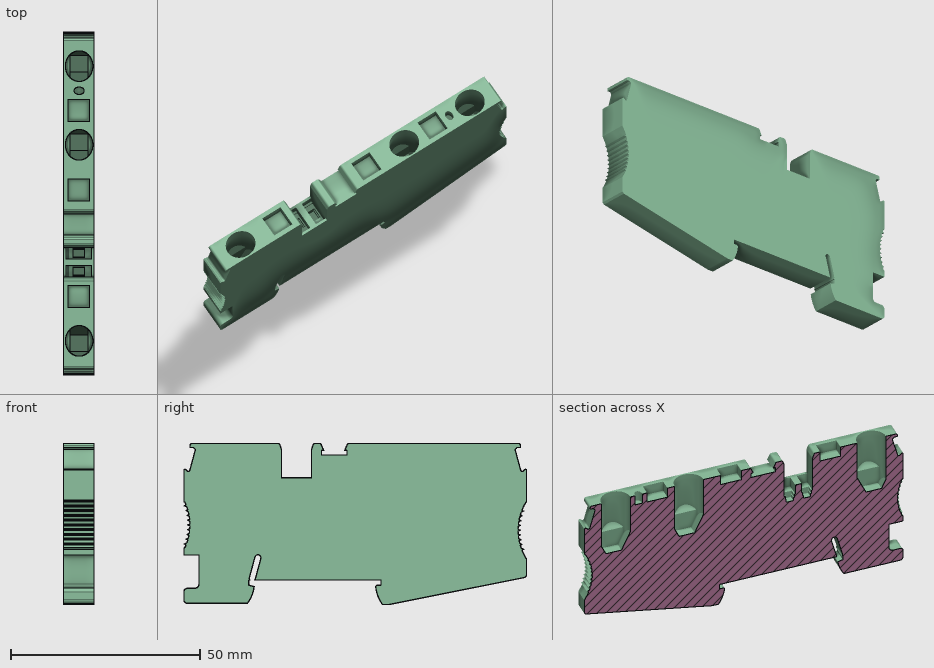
import cadquery as cq
import math


WIDTH = 8.15
LENGTH = 90.5
HEIGHT = 42.54
HALF_LENGTH = LENGTH / 2
MARGIN = 1.0

RAIL_FACE_Z = HEIGHT - 36.1
HOOK_TOP_Z = HEIGHT - 37.4
SLIDING_FOOT_Z = 0.3
BACK_CORNER_Z = HEIGHT - 35.4
BACK_CORNER_RADIUS = 0.5
FIXED_FOOT_START_Y = HALF_LENGTH - 36.3
FIXED_FOOT_END_Y = HALF_LENGTH - 38.1
FIXED_HOOK_TIP_Y = HALF_LENGTH - 39.9
FIXED_HOOK_ROOT_Y = HALF_LENGTH - 38.5
SLIDING_FOOT_START_Y = HALF_LENGTH - 73.7
SLIDING_HOOK_TIP_Y = HALF_LENGTH - 71.9
SLIDING_HOOK_ROOT_Y = HALF_LENGTH - 73.3
HOOK_BULGE = 0.35
HOOK_TIP_DROP = 0.35
TOE_RADIUS = 1.0

SLOT_WIDTH = 1.55
SLOT_TOP_CENTRE_Y = HALF_LENGTH - 70.95
SLOT_TOP_CENTRE_Z = HEIGHT - 30.2
SLOT_BOTTOM_CENTRE_Y = HALF_LENGTH - 72.4
SLOT_BOTTOM_CENTRE_Z = HEIGHT - 35.6

FOOT_RECESS_DEPTH = 4.0
FOOT_RECESS_TOP_Z = HEIGHT - 29.5
FOOT_RECESS_BOTTOM_Z = HEIGHT - 38.2
FOOT_RECESS_RADIUS = 1.1

LIP_INSET = 1.64
LIP_THICKNESS = 1.1
NECK_INSET = 3.05
NECK_ROUND = 0.5
LABEL_SEAT_INSET = 1.2
LABEL_SEAT_DROP = 7.4
LABEL_SEAT_HALF = 0.35
LABEL_SEAT_RISE = 0.25
LABEL_LIP_INSET = 0.35
LABEL_LIP_DROP = 6.75
SHOULDER_DROP = 7.0

GRIP_RADIUS = 14.2
RIDGE_PITCH = 1.26
RIDGE_HEIGHT = 0.55
RIDGE_BASE = 0.5
BACK_GRIP_Z = HEIGHT - 22.9
BACK_GRIP_DEPTH = 2.25
BACK_RIDGES = 9
FRONT_GRIP_Z = HEIGHT - 21.5
FRONT_GRIP_DEPTH = 1.6
FRONT_RIDGES = 11

TOP_EDGE_RADIUS = 0.55

GROOVE_CENTRE_Y = HALF_LENGTH - 50.8
GROOVE_MOUTH = 7.1
GROOVE_THROAT = 5.5
GROOVE_FLOOR = 6.7
GROOVE_THROAT_DROP = 1.85
GROOVE_DEPTH = 3.05

NOTCH_CENTRE_Y = HALF_LENGTH - 60.75
NOTCH_WIDTH = 7.9
NOTCH_DEPTH = 9.0
NOTCH_CHAMFER_RUN = 0.55
NOTCH_CHAMFER_DROP = 1.55

POCKET_LENGTH = 6.85
POCKET_WIDTH = 3.05
POCKET_SPACING = NOTCH_WIDTH - POCKET_WIDTH
POCKET_DEPTH = 3.0
POCKET_STEP_LENGTH = 0.55
POCKET_STEP_DEPTH = 2.5
CONTACT_LENGTH = 3.05
CONTACT_OUTER_WIDTH = 2.4
CONTACT_INNER_WIDTH = 1.95
CONTACT_STEP_DEPTH = 1.0
CONTACT_DEPTH = 2.0

OPENING_X = 0.1
ENTRY_LENGTH = 8.1
ENTRY_WIDTH = 7.25
END_ENTRY_Y = 36.25
MIDDLE_ENTRY_Y = END_ENTRY_Y - 20.75
ENTRY_STRAIGHT_DEPTH = 10.0
FUNNEL_SIDE_LEAN = 40.0
DUCT_END_LEAN = 25.0
DUCT_WIDTH = 4.7
FUNNEL_DEPTH = (ENTRY_WIDTH - DUCT_WIDTH) / 2 / math.tan(math.radians(FUNNEL_SIDE_LEAN))
DUCT_OUTER_INSET = 1.25
DUCT_INNER_INSET = 2.5
DUCT_DEPTH = DUCT_INNER_INSET / math.tan(math.radians(DUCT_END_LEAN))

RELEASE_SIDE = 5.75
RELEASE_DEPTH = 3.0
END_RELEASE_Y = 24.55
MIDDLE_RELEASE_Y = 3.6
TEST_HOLE_Y = 29.75
TEST_HOLE_WIDTH = 2.7
TEST_HOLE_LENGTH = 1.95
TEST_HOLE_DEPTH = 3.0


def profile_plane():
    """YZ sketch plane on the -X face, so that extrusion runs along +X."""
    return cq.Workplane("YZ", origin=(-WIDTH / 2, 0, 0))


def box_from(top_z, depth, length_x, length_y, centre_x, centre_y):
    """Box hanging down from top_z."""
    centre = (centre_x, centre_y, top_z - depth / 2)
    return cq.Workplane("XY").box(length_x, length_y, depth).translate(centre)


def body():
    """Full-length block with the fixed rail hook and the sliding foot."""
    hook_tip_z = HOOK_TOP_Z - HOOK_TIP_DROP
    fixed_mid_y = (FIXED_FOOT_END_Y + FIXED_HOOK_TIP_Y) / 2 - HOOK_BULGE
    sliding_mid_y = (SLIDING_FOOT_START_Y + SLIDING_HOOK_TIP_Y) / 2 + HOOK_BULGE
    return (
        profile_plane()
        .moveTo(HALF_LENGTH, HEIGHT)
        .lineTo(HALF_LENGTH, BACK_CORNER_Z + BACK_CORNER_RADIUS)
        .lineTo(HALF_LENGTH - BACK_CORNER_RADIUS, BACK_CORNER_Z)
        .lineTo(FIXED_FOOT_START_Y, 0)
        .lineTo(FIXED_FOOT_END_Y, 0)
        .threePointArc((fixed_mid_y, hook_tip_z / 2), (FIXED_HOOK_TIP_Y, hook_tip_z))
        .lineTo(FIXED_HOOK_TIP_Y + HOOK_TIP_DROP, HOOK_TOP_Z)
        .lineTo(FIXED_HOOK_ROOT_Y, HOOK_TOP_Z)
        .lineTo(FIXED_HOOK_ROOT_Y, RAIL_FACE_Z)
        .lineTo(SLIDING_HOOK_ROOT_Y, RAIL_FACE_Z)
        .lineTo(SLIDING_HOOK_ROOT_Y, HOOK_TOP_Z)
        .lineTo(SLIDING_HOOK_TIP_Y, hook_tip_z)
        .threePointArc(
            (sliding_mid_y, (hook_tip_z + SLIDING_FOOT_Z) / 2),
            (SLIDING_FOOT_START_Y, SLIDING_FOOT_Z),
        )
        .lineTo(-HALF_LENGTH + TOE_RADIUS, SLIDING_FOOT_Z)
        .radiusArc((-HALF_LENGTH, SLIDING_FOOT_Z + TOE_RADIUS), TOE_RADIUS)
        .lineTo(-HALF_LENGTH, HEIGHT)
        .close()
        .extrude(WIDTH)
    )


def spring_slot():
    """Slanted round-topped slot that lets the sliding foot flex."""
    run_y = SLOT_BOTTOM_CENTRE_Y - SLOT_TOP_CENTRE_Y
    run_z = SLOT_BOTTOM_CENTRE_Z - SLOT_TOP_CENTRE_Z
    mid_y = (SLOT_TOP_CENTRE_Y + SLOT_BOTTOM_CENTRE_Y) / 2
    mid_z = (SLOT_TOP_CENTRE_Z + SLOT_BOTTOM_CENTRE_Z) / 2
    angle = math.degrees(math.atan2(run_z, run_y))
    return (
        profile_plane()
        .center(mid_y, mid_z)
        .slot2D(math.hypot(run_y, run_z) + SLOT_WIDTH, SLOT_WIDTH, angle)
        .extrude(WIDTH)
    )


def foot_recess():
    """Open recess in the -Y end above the sliding foot's toe."""
    inner_y = -HALF_LENGTH + FOOT_RECESS_DEPTH
    outer_y = -HALF_LENGTH - MARGIN
    return (
        profile_plane()
        .moveTo(outer_y, FOOT_RECESS_TOP_Z)
        .lineTo(inner_y, FOOT_RECESS_TOP_Z)
        .lineTo(inner_y, FOOT_RECESS_BOTTOM_Z + FOOT_RECESS_RADIUS)
        .radiusArc((inner_y - FOOT_RECESS_RADIUS, FOOT_RECESS_BOTTOM_Z), FOOT_RECESS_RADIUS)
        .lineTo(-HALF_LENGTH + TOE_RADIUS, FOOT_RECESS_BOTTOM_Z)
        .radiusArc((-HALF_LENGTH, FOOT_RECESS_BOTTOM_Z - TOE_RADIUS), -TOE_RADIUS)
        .lineTo(outer_y, FOOT_RECESS_BOTTOM_Z - TOE_RADIUS)
        .close()
        .extrude(WIDTH)
    )


def label_notch(end):
    """Undercut label notch below the top lip; end is +1 or -1 along Y."""

    def at(inset, drop):
        return (end * (HALF_LENGTH - inset), HEIGHT - drop)

    return (
        profile_plane()
        .moveTo(*at(-MARGIN, -MARGIN))
        .lineTo(*at(LIP_INSET, -MARGIN))
        .lineTo(*at(LIP_INSET, LIP_THICKNESS))
        .lineTo(*at(NECK_INSET - NECK_ROUND, LIP_THICKNESS))
        .lineTo(*at(NECK_INSET, LIP_THICKNESS + NECK_ROUND))
        .lineTo(*at(LABEL_SEAT_INSET + LABEL_SEAT_HALF, LABEL_SEAT_DROP - LABEL_SEAT_RISE))
        .threePointArc(
            at(LABEL_SEAT_INSET, LABEL_SEAT_DROP),
            at(LABEL_SEAT_INSET - LABEL_SEAT_HALF, LABEL_SEAT_DROP - LABEL_SEAT_RISE),
        )
        .lineTo(*at(LABEL_LIP_INSET, LABEL_LIP_DROP))
        .lineTo(*at(0, SHOULDER_DROP))
        .lineTo(*at(-MARGIN, SHOULDER_DROP))
        .close()
        .extrude(WIDTH)
    )


def finger_grip(end, centre_z, depth, ridge_count):
    """Concave cylindrical cut, less the triangular ridges left standing in it."""
    axis_y = end * (HALF_LENGTH - depth + GRIP_RADIUS)
    grip = profile_plane().center(axis_y, centre_z).circle(GRIP_RADIUS).extrude(WIDTH)
    for index in range(ridge_count):
        rise = (index - (ridge_count - 1) / 2) * RIDGE_PITCH
        root_y = axis_y - end * math.sqrt(GRIP_RADIUS**2 - rise**2)
        ridge = (
            profile_plane()
            .center(root_y, centre_z + rise)
            .polyline(
                [
                    (-end * RIDGE_HEIGHT, -RIDGE_BASE),
                    (end * RIDGE_HEIGHT, 0),
                    (-end * RIDGE_HEIGHT, RIDGE_BASE),
                ]
            )
            .close()
            .extrude(WIDTH)
        )
        grip = grip.cut(ridge)
    return grip


def symmetric_cut(centre_y, right_side):
    """Through cut in X whose (half width, drop) outline is mirrored about centre_y."""
    right = [(centre_y + half, HEIGHT - drop) for half, drop in right_side]
    left = [(centre_y - half, HEIGHT - drop) for half, drop in reversed(right_side)]
    return profile_plane().polyline(right + left).close().extrude(WIDTH)


def marker_groove():
    """Groove across the top whose floor undercuts its throat."""
    return symmetric_cut(
        GROOVE_CENTRE_Y,
        [
            (GROOVE_MOUTH / 2, 0),
            (GROOVE_THROAT / 2, GROOVE_THROAT_DROP),
            (GROOVE_FLOOR / 2, GROOVE_THROAT_DROP),
            (GROOVE_FLOOR / 2, GROOVE_DEPTH),
        ],
    )


def bridge_notch():
    """Deep square notch across the top with a bevelled mouth."""
    return symmetric_cut(
        NOTCH_CENTRE_Y,
        [
            (NOTCH_WIDTH / 2 + NOTCH_CHAMFER_RUN, 0),
            (NOTCH_WIDTH / 2, NOTCH_CHAMFER_DROP),
            (NOTCH_WIDTH / 2, NOTCH_DEPTH),
        ],
    )


def contact_pocket(centre_y):
    """Stepped pocket in the notch floor, with a narrower contact well in its middle."""
    floor_z = HEIGHT - NOTCH_DEPTH
    main_length = POCKET_LENGTH - POCKET_STEP_LENGTH
    pocket = box_from(floor_z, POCKET_STEP_DEPTH, POCKET_LENGTH, POCKET_WIDTH, 0, centre_y)
    main = box_from(floor_z, POCKET_DEPTH, main_length, POCKET_WIDTH, POCKET_STEP_LENGTH / 2, centre_y)
    well_z = floor_z - POCKET_DEPTH
    outer = box_from(well_z, CONTACT_STEP_DEPTH, CONTACT_LENGTH, CONTACT_OUTER_WIDTH, 0, centre_y)
    inner = box_from(well_z, CONTACT_DEPTH, CONTACT_LENGTH, CONTACT_INNER_WIDTH, 0, centre_y)
    return pocket.union(main).union(outer).union(inner)


def oval(top_z, depth, centre_y, size_x, size_y):
    """Elliptical prism hanging down from top_z."""
    return (
        cq.Workplane("XY", origin=(OPENING_X, centre_y, top_z))
        .ellipse(size_x / 2, size_y / 2)
        .extrude(-depth)
    )


def wire_entry(centre_y, end):
    """Oval shaft, side walls funnelling in X, then a duct with sloping Y ends.

    end is the sign of the block end that the wire slopes towards.
    """
    funnel_z = HEIGHT - ENTRY_STRAIGHT_DEPTH
    duct_z = funnel_z - FUNNEL_DEPTH
    floor_z = duct_z - DUCT_DEPTH
    half_mouth = ENTRY_WIDTH / 2
    half_duct = DUCT_WIDTH / 2
    half_length = ENTRY_LENGTH / 2

    shaft = oval(HEIGHT, ENTRY_STRAIGHT_DEPTH, centre_y, ENTRY_WIDTH, ENTRY_LENGTH)
    side_slopes = (
        cq.Workplane("XZ", origin=(OPENING_X, centre_y + half_length, 0))
        .polyline(
            [(-half_mouth, funnel_z), (half_mouth, funnel_z), (half_duct, duct_z), (-half_duct, duct_z)]
        )
        .close()
        .extrude(ENTRY_LENGTH)
    )
    funnel = oval(funnel_z, FUNNEL_DEPTH, centre_y, ENTRY_WIDTH, ENTRY_LENGTH).intersect(side_slopes)
    end_slopes = (
        cq.Workplane("YZ", origin=(OPENING_X - half_duct, centre_y, 0))
        .polyline(
            [
                (-end * half_length, duct_z),
                (end * (half_length - DUCT_OUTER_INSET + DUCT_INNER_INSET), duct_z),
                (end * (half_length - DUCT_OUTER_INSET), floor_z),
                (-end * (half_length - DUCT_INNER_INSET), floor_z),
            ]
        )
        .close()
        .extrude(DUCT_WIDTH)
    )
    duct = oval(duct_z, DUCT_DEPTH, centre_y, ENTRY_WIDTH, ENTRY_LENGTH).intersect(end_slopes)
    return shaft.union(funnel).union(duct)


def release_opening(centre_y):
    """Square blind opening in the top face."""
    return box_from(HEIGHT, RELEASE_DEPTH, RELEASE_SIDE, RELEASE_SIDE, 0, centre_y)


def test_hole():
    """Small oval blind hole in the top face."""
    return oval(HEIGHT, TEST_HOLE_DEPTH, TEST_HOLE_Y, TEST_HOLE_WIDTH, TEST_HOLE_LENGTH)


result = body()
result = result.cut(spring_slot()).cut(foot_recess())
for block_end in (1, -1):
    result = result.cut(label_notch(block_end))
result = result.cut(finger_grip(1, BACK_GRIP_Z, BACK_GRIP_DEPTH, BACK_RIDGES))
result = result.cut(finger_grip(-1, FRONT_GRIP_Z, FRONT_GRIP_DEPTH, FRONT_RIDGES))
result = result.cut(marker_groove()).cut(bridge_notch())
result = result.faces(">Z").edges("|X").fillet(TOP_EDGE_RADIUS)
for side in (1, -1):
    result = result.cut(contact_pocket(NOTCH_CENTRE_Y + side * POCKET_SPACING / 2))
for entry_y, wire_side in ((END_ENTRY_Y, 1), (MIDDLE_ENTRY_Y, 1), (-END_ENTRY_Y, -1)):
    result = result.cut(wire_entry(entry_y, wire_side))
for release_y in (END_RELEASE_Y, MIDDLE_RELEASE_Y, -END_RELEASE_Y):
    result = result.cut(release_opening(release_y))
result = result.cut(test_hole())